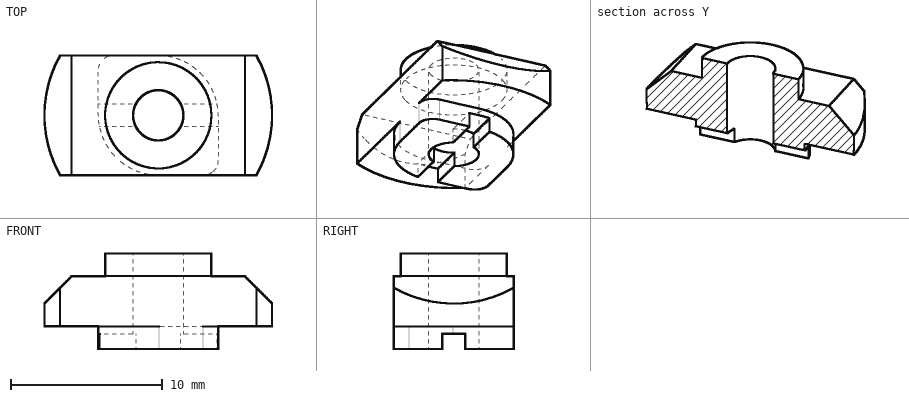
import cadquery as cq
import math

plate_length = 15.0
plate_width = 7.9
plate_thickness = 3.3
end_radius = 8.0
end_chamfer = 1.8

collar_diameter = 7.0
collar_height = 1.5
foot_height = 1.5
foot_large_radius = 4.0
foot_small_radius = 1.0

hole_diameter = 3.3
slot_width = 1.5
slot_depth = 1.0

foot_bottom = -foot_height
collar_top = plate_thickness + collar_height


def make_plate():
    """Bar with bowed ends and sloped upper end edges."""
    half_width = plate_width / 2
    half_length = plate_length / 2
    end_rise = end_radius - math.sqrt(end_radius**2 - half_width**2)
    corner_x = half_length - end_rise
    outline = (
        cq.Workplane("XY")
        .moveTo(-corner_x, -half_width)
        .lineTo(corner_x, -half_width)
        .threePointArc((half_length, 0), (corner_x, half_width))
        .lineTo(-corner_x, half_width)
        .threePointArc((-half_length, 0), (-corner_x, -half_width))
        .close()
        .extrude(plate_thickness)
    )
    sloped_bar = (
        cq.Workplane("XY")
        .rect(plate_length, plate_width)
        .extrude(plate_thickness)
        .faces(">Z")
        .edges("|Y")
        .chamfer(end_chamfer)
    )
    return outline.intersect(sloped_bar)


def make_collar():
    """Round collar standing on the plate."""
    return (
        cq.Workplane("XY")
        .workplane(offset=plate_thickness)
        .circle(collar_diameter / 2)
        .extrude(collar_height)
    )


def make_foot():
    """Square foot: one diagonal pair of corners broadly rounded, the other pair slightly rounded."""
    block = (
        cq.Workplane("XY")
        .workplane(offset=foot_bottom)
        .rect(plate_width, plate_width)
        .extrude(foot_height)
    )
    return (
        block.edges("<(1, 1, 0) or >(1, 1, 0)")
        .fillet(foot_large_radius)
        .edges("<(1, -1, 0) or >(1, -1, 0)")
        .fillet(foot_small_radius)
    )


def make_hole():
    """Screw hole through the full height."""
    return (
        cq.Workplane("XY")
        .workplane(offset=foot_bottom)
        .circle(hole_diameter / 2)
        .extrude(collar_top - foot_bottom)
    )


def make_slot():
    """Driver slot along X across the underside of the foot."""
    return (
        cq.Workplane("XY")
        .workplane(offset=foot_bottom)
        .rect(plate_width, slot_width)
        .extrude(slot_depth)
    )


solid = make_plate().union(make_collar()).union(make_foot()).clean()
result = solid.cut(make_hole()).cut(make_slot())